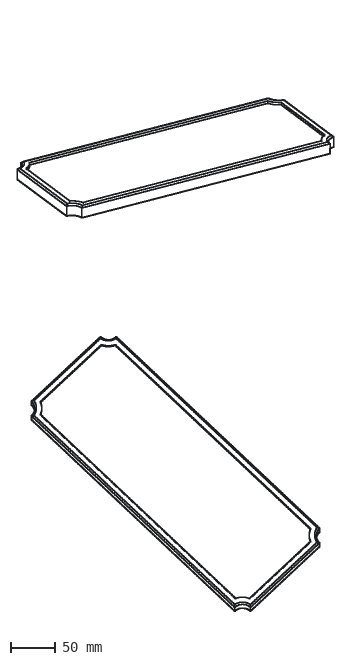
import cadquery as cq

WIDTH = 135.0
LENGTH = 350.0
THICKNESS = 14.5
CORNER_RADIUS = 12.5
CHAMFER = 2.0
RIM_WIDTH = 8.0
RECESS_DEPTH = 3.0


def scooped_slab(width, length, height, scoop_radius):
    """Flat slab, base on Z = 0, with scoops centred on the corners of the full plate."""
    slab = cq.Workplane("XY").rect(width, length).extrude(height)
    scoops = (
        cq.Workplane("XY")
        .rect(WIDTH, LENGTH, forConstruction=True)
        .vertices()
        .circle(scoop_radius)
        .extrude(height)
    )
    return slab.cut(scoops)


def plate():
    """Outer body with its top edge bevelled all the way round."""
    body = scooped_slab(WIDTH, LENGTH, THICKNESS, CORNER_RADIUS)
    return body.faces(">Z").edges().chamfer(CHAMFER)


def recess():
    """Shallow pocket that follows the plate outline at a constant rim width."""
    pocket = scooped_slab(
        WIDTH - 2 * RIM_WIDTH,
        LENGTH - 2 * RIM_WIDTH,
        RECESS_DEPTH,
        CORNER_RADIUS + RIM_WIDTH,
    )
    return pocket.translate((0, 0, THICKNESS - RECESS_DEPTH))


result = plate().cut(recess())